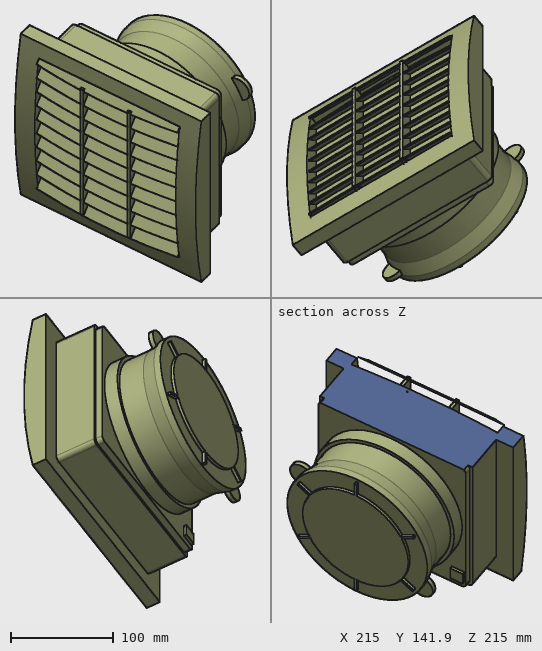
import cadquery as cq
import math


plate_side = 215.0
plate_crown_depth = 25.0
plate_edge_depth = 15.0

opening_width = 167.7
opening_bottom = -83.8
opening_top = 89.7
floor_setback = 13.0

slat_count = 10
slat_pitch = 18.5
slat_top_edge_z = 81.0
slat_thickness = 1.5
slat_slope = math.radians(50)
bow_depth = 3.0
slat_embed = 2.2

bar_width = 3.7
bar_height = 167.7
bar_spacing = 56.0

housing_side = 175.9
housing_depth = 43.0
step_side = 169.6
step_depth = 7.3
housing_corner_radius = 5.0

collar_radius = 80.6
neck_radius = 76.5
collar_depth = 14.6
neck_depth = 26.7
flare_depth = 14.6
rim_depth = 7.5

hub_radius = 60.6
hub_depth = 3.2
hub_rib_count = 6
hub_rib_width = 2.5
hub_rib_first_angle = 30

lug_radius = 13.0
lug_thickness = 5.0
lug_pitch_radius = 80.0
lug_angles = (30, 210)

pad_size = 14.2
pad_height = 3.0
pad_outer_x = -83.0
pad_bottom_z = -77.2

step_start = housing_depth
duct_start = step_start + step_depth
neck_start = duct_start + collar_depth
flare_start = neck_start + neck_depth
rim_start = flare_start + flare_depth
rim_end = rim_start + rim_depth


def box(x0, x1, y0, y1, z0, z1):
    """Box between two opposite corners."""
    return cq.Workplane("XY").box(x1 - x0, y1 - y0, z1 - z0, centered=False).translate((x0, y0, z0))


def square_block(side, start, depth):
    """Square block along Y with rounded corners."""
    half = side / 2
    block = box(-half, half, start, start + depth, -half, half)
    return block.edges("|Y").fillet(housing_corner_radius)


def make_plate():
    half = plate_side / 2
    profile = (
        cq.Workplane("YZ")
        .moveTo(0, -half)
        .lineTo(-plate_edge_depth, -half)
        .threePointArc((-plate_crown_depth, 0), (-plate_edge_depth, half))
        .lineTo(0, half)
        .close()
    )
    return profile.extrude(half, both=True)


def make_opening():
    """Pocket whose floor has the same bow as the slat edges."""
    half = opening_width / 2
    floor_y = -plate_crown_depth + floor_setback
    outline = (
        cq.Workplane("XY")
        .workplane(offset=opening_bottom)
        .moveTo(-half, -plate_crown_depth)
        .lineTo(-half, floor_y + bow_depth)
        .threePointArc((0, floor_y), (half, floor_y + bow_depth))
        .lineTo(half, -plate_crown_depth)
        .close()
    )
    return outline.extrude(opening_top - opening_bottom)


def make_slat(edge_z):
    """Sloping slat with its bowed front edge lowest at edge_z; its back is buried in the floor."""
    half = opening_width / 2
    slope_bow = bow_depth / math.cos(slat_slope)
    slope_length = (floor_setback + bow_depth + slat_embed) / math.cos(slat_slope)
    plane = cq.Plane(
        origin=(0, -plate_crown_depth, edge_z),
        xDir=(1, 0, 0),
        normal=(0, -math.sin(slat_slope), math.cos(slat_slope)),
    )
    outline = (
        cq.Workplane(plane)
        .moveTo(-half, slope_bow)
        .threePointArc((0, 0), (half, slope_bow))
        .lineTo(half, slope_length)
        .lineTo(-half, slope_length)
        .close()
    )
    slat = outline.extrude(-slat_thickness)
    below_opening_top = box(-half, half, -plate_crown_depth, 0, -plate_side / 2, opening_top)
    return slat.intersect(below_opening_top)


def make_bar(x):
    half_width = bar_width / 2
    return box(x - half_width, x + half_width, -plate_crown_depth, 0, -bar_height / 2, bar_height / 2)


def make_duct():
    """Turned duct: collar, neck, flare, rim and end hub."""
    profile = (
        cq.Workplane("XY")
        .moveTo(0, duct_start)
        .lineTo(-collar_radius, duct_start)
        .lineTo(-collar_radius, neck_start)
        .lineTo(-neck_radius, neck_start)
        .lineTo(-neck_radius, flare_start)
        .lineTo(-collar_radius, rim_start)
        .lineTo(-collar_radius, rim_end)
        .lineTo(-hub_radius, rim_end)
        .lineTo(-hub_radius, rim_end + hub_depth)
        .lineTo(0, rim_end + hub_depth)
        .close()
    )
    return profile.revolve(360, (0, 0, 0), (0, 1, 0))


def make_hub_rib(angle):
    half_width = hub_rib_width / 2
    rib = box(0, neck_radius, rim_end, rim_end + hub_depth, -half_width, half_width)
    return rib.rotate((0, 0, 0), (0, 1, 0), angle)


def make_lug(angle):
    x = lug_pitch_radius * math.cos(math.radians(angle))
    z = lug_pitch_radius * math.sin(math.radians(angle))
    lug = cq.Workplane("XZ").center(x, z).circle(lug_radius).extrude(lug_thickness)
    return lug.translate((0, rim_start, 0))


def make_pad():
    return box(
        pad_outer_x, pad_outer_x + pad_size,
        duct_start, duct_start + pad_height,
        pad_bottom_z, pad_bottom_z + pad_size,
    )


result = make_plate().cut(make_opening())
for slat in range(slat_count):
    result = result.union(make_slat(slat_top_edge_z - slat * slat_pitch))
for bar_x in (-bar_spacing / 2, bar_spacing / 2):
    result = result.union(make_bar(bar_x))

result = result.union(square_block(housing_side, 0, housing_depth))
result = result.union(square_block(step_side, step_start, step_depth))
result = result.union(make_duct())
for rib in range(hub_rib_count):
    result = result.union(make_hub_rib(hub_rib_first_angle + rib * 360 / hub_rib_count))
for lug_angle in lug_angles:
    result = result.union(make_lug(lug_angle))
result = result.union(make_pad())